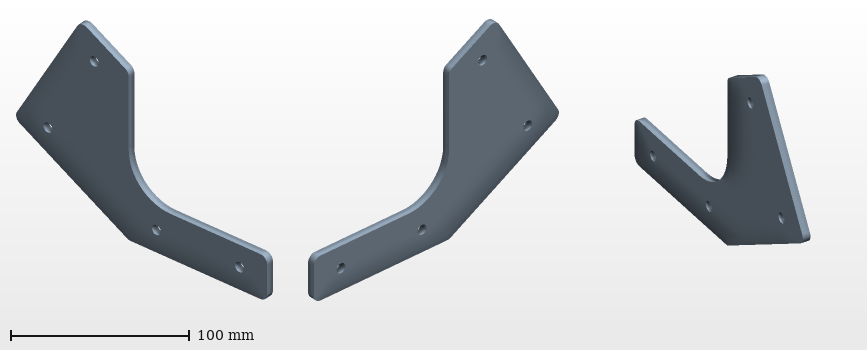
import cadquery as cq
import math

thickness = 5.0
corner_radius = 5.0
inner_radius = 30.0
hole_diameter = 6.5

arm_length = 100.0
arm_width = 30.0
arm_hole_inset = 20.0

tilt = math.radians(30)
plate_length = 96.0
plate_width = 97.0
plate_end_inset = 20.0
plate_side_inset = 15.0


def plate_point(along, across):
    """XZ point measured along the plate's lower edge and square to it."""
    x = -along * math.cos(tilt) + across * math.sin(tilt)
    z = along * math.sin(tilt) + across * math.cos(tilt)
    return (x, z)


upper_edge_start = plate_width * math.tan(tilt)

inner_corner = (0, arm_width)
outline = [
    (0, 0),
    (arm_length, 0),
    (arm_length, arm_width),
    inner_corner,
    plate_point(upper_edge_start, plate_width),
    plate_point(plate_length, plate_width),
    plate_point(plate_length, 0),
]

arm_holes = [
    (arm_hole_inset, arm_width / 2),
    (arm_length - arm_hole_inset, arm_width / 2),
]
plate_hole_along = plate_length - plate_end_inset
plate_holes = [
    plate_point(plate_hole_along, plate_side_inset),
    plate_point(plate_hole_along, plate_width - plate_side_inset),
]


def make_blank():
    """Plate with sharp corners, its front face on Y = 0 and its back at +Y."""
    return cq.Workplane("XZ").polyline(outline).close().extrude(-thickness)


def round_corner(body, corner, radius):
    """Fillet the edge along Y that passes through an outline corner."""
    corner_x, corner_z = corner
    edge_at_corner = cq.selectors.NearestToPointSelector((corner_x, thickness / 2, corner_z))
    return body.edges("|Y").edges(edge_at_corner).fillet(radius)


def round_corners(body):
    """Round the inside bend with the large radius and every other corner with the small one."""
    for corner in outline:
        radius = inner_radius if corner == inner_corner else corner_radius
        body = round_corner(body, corner, radius)
    return body


def drill_holes(body):
    """Cut the round through holes of the arm and the plate."""
    drills = (
        cq.Workplane("XZ")
        .pushPoints(arm_holes + plate_holes)
        .circle(hole_diameter / 2)
        .extrude(-thickness)
    )
    return body.cut(drills)


result = drill_holes(round_corners(make_blank()))